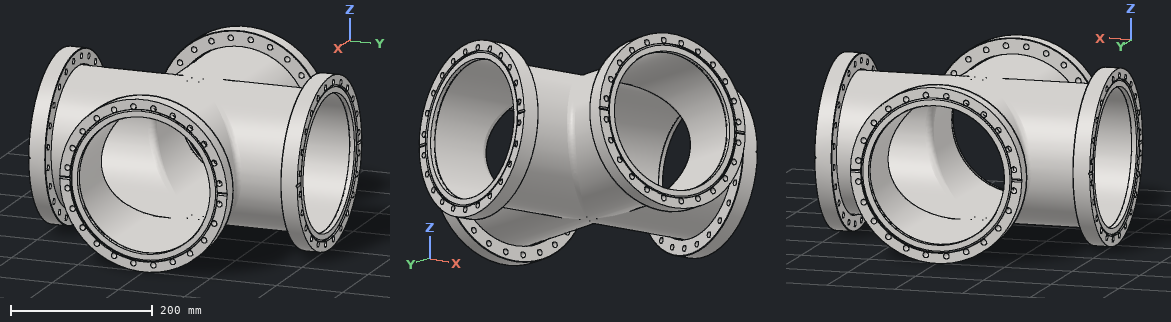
import cadquery as cq

SPAN = 406.0
TUBE_OUTER_RADIUS = 204.0 / 2
TUBE_BORE_RADIUS = 200.0 / 2
CROTCH_FILLET_RADIUS = 8.0
CORE_WIDTH = 24.5
EDGE_TOLERANCE = 0.005

FLANGE_RADIUS = 253.0 / 2
FLANGE_THICKNESS = 25.0
FLANGE_BORE_RADIUS = 200.5 / 2
SOCKET_RADIUS = 204.5 / 2
LIP_DEPTH = 8.5
REAR_CHAMFER = 1.0
RECESS_RADIUS = 222.5 / 2
RECESS_DEPTH = 3.0
SEAL_EDGE_RADIUS = 109.0
SEAL_EDGE_DEPTH = 1.2
REAR_BORE_RADIUS = 103.5

HUB_RADIUS = 222.0 / 2
RING_BORE_RADIUS = 223.0 / 2
HUB_REAR_DEPTH = FLANGE_THICKNESS / 2

BOLT_COUNT = 24
BOLT_CIRCLE_RADIUS = 115.7
BOLT_HOLE_RADIUS = 4.0
GROOVE_WIDTH = 4.0
GROOVE_DEPTH = 2.0

ROTATABLE_ARM_ANGLES = (0, 90)
FIXED_ARM_ANGLES = (180, 270)
HALF_SPAN = SPAN / 2
TUBE_END = HALF_SPAN - LIP_DEPTH
FLANGE_REAR = HALF_SPAN - FLANGE_THICKNESS
HUB_REAR = HALF_SPAN - HUB_REAR_DEPTH
TUBE_WALL = TUBE_OUTER_RADIUS - TUBE_BORE_RADIUS


def lies_in_crotch(edge):
    """True for an edge where two neighbouring arms meet, in a vertical plane x = y or x = -y."""
    points = [edge.positionAt(place) for place in (0, 0.5, 1)]
    return all(abs(abs(point.x) - abs(point.y)) < EDGE_TOLERANCE for point in points)


def crossing_cylinders(radius, crotch_radius):
    """Two equal cylinders along X and Y, with a fillet in the four corners between the arms."""
    along_x = cq.Workplane("YZ").circle(radius).extrude(TUBE_END, both=True)
    along_y = cq.Workplane("XZ").circle(radius).extrude(TUBE_END, both=True)
    crossing = along_x.union(along_y)
    core_column = (
        cq.Workplane("XY")
        .rect(CORE_WIDTH, CORE_WIDTH)
        .extrude(SPAN, both=True)
        .rotate((0, 0, 0), (0, 0, 1), 45)
    )
    arms = crossing.cut(core_column)
    crotch_edges = [edge for edge in arms.edges().vals() if lies_in_crotch(edge)]
    filleted_arms = arms.newObject(crotch_edges).fillet(crotch_radius)
    return filleted_arms.union(crossing.intersect(core_column))


def make_cross_tube():
    """Four-way tube; inner and outer corner fillets share their centres, so the wall stays even."""
    outside = crossing_cylinders(TUBE_OUTER_RADIUS, CROTCH_FILLET_RADIUS)
    inside = crossing_cylinders(TUBE_BORE_RADIUS, CROTCH_FILLET_RADIUS + TUBE_WALL)
    return outside.cut(inside)


def revolve_about_x(profile):
    """Solid of revolution from (axial place, radius) points."""
    return cq.Workplane("XY").polyline(profile).close().revolve(360, (0, 0, 0), (1, 0, 0))


def seal_profile(outer_radius):
    """Profile from the tube stop along the bore and over the sealing edge, out to the recess floor."""
    return [
        (TUBE_END, SOCKET_RADIUS),
        (TUBE_END, FLANGE_BORE_RADIUS),
        (HALF_SPAN - SEAL_EDGE_DEPTH, FLANGE_BORE_RADIUS),
        (HALF_SPAN - SEAL_EDGE_DEPTH, SEAL_EDGE_RADIUS),
        (HALF_SPAN - RECESS_DEPTH, outer_radius),
    ]


def rim_profile(front_bore_radius):
    """Profile from the front face around the rim to the bore at the back."""
    return [
        (HALF_SPAN, front_bore_radius),
        (HALF_SPAN, FLANGE_RADIUS),
        (FLANGE_REAR + REAR_CHAMFER, FLANGE_RADIUS),
        (FLANGE_REAR, FLANGE_RADIUS - REAR_CHAMFER),
        (FLANGE_REAR, REAR_BORE_RADIUS),
        (HUB_REAR, REAR_BORE_RADIUS),
    ]


def drill_bolt_holes(flange):
    """Full circle of bolt holes, straddling the vertical and horizontal centre lines."""
    bolt_holes = (
        cq.Workplane("YZ", origin=(FLANGE_REAR, 0, 0))
        .polarArray(BOLT_CIRCLE_RADIUS, 180 / BOLT_COUNT, 360, BOLT_COUNT)
        .circle(BOLT_HOLE_RADIUS)
        .extrude(FLANGE_THICKNESS)
    )
    return flange.cut(bolt_holes)


def cut_leak_grooves(flange):
    """Two V-shaped grooves across the front face, from the recess out to the rim."""
    grooves = (
        cq.Workplane("XZ")
        .polyline([
            (HALF_SPAN - GROOVE_DEPTH, 0),
            (HALF_SPAN, GROOVE_WIDTH / 2),
            (HALF_SPAN, -GROOVE_WIDTH / 2),
        ])
        .close()
        .extrude(FLANGE_RADIUS, both=True)
    )
    inside_recess = cq.Workplane("YZ").circle(RECESS_RADIUS).extrude(HALF_SPAN, both=True)
    return flange.cut(grooves.cut(inside_recess))


def make_fixed_flange():
    """One-piece flange, set on the +X arm."""
    socket_start = (HUB_REAR, SOCKET_RADIUS)
    profile = [socket_start, *seal_profile(RECESS_RADIUS), *rim_profile(RECESS_RADIUS)]
    return cut_leak_grooves(drill_bolt_holes(revolve_about_x(profile)))


def make_hub():
    """Sealing hub of a rotatable flange, set on the +X arm."""
    profile = [(HUB_REAR, SOCKET_RADIUS), *seal_profile(HUB_RADIUS), (HUB_REAR, HUB_RADIUS)]
    return revolve_about_x(profile)


def make_ring():
    """Loose bolt ring that hooks behind the hub, set on the +X arm."""
    profile = [*rim_profile(RING_BORE_RADIUS), (HUB_REAR, RING_BORE_RADIUS)]
    return cut_leak_grooves(drill_bolt_holes(revolve_about_x(profile)))


def place_on_arms(body, arm_angles):
    """One separate copy of the body per arm, turned about Z from the +X arm."""
    return [body.rotate((0, 0, 0), (0, 0, 1), angle).val() for angle in arm_angles]


cross_tube = make_cross_tube()
fixed_flanges = place_on_arms(make_fixed_flange(), FIXED_ARM_ANGLES)
hubs = place_on_arms(make_hub(), ROTATABLE_ARM_ANGLES)
rings = place_on_arms(make_ring(), ROTATABLE_ARM_ANGLES)

result = cq.Compound.makeCompound([cross_tube.val(), *fixed_flanges, *hubs, *rings])